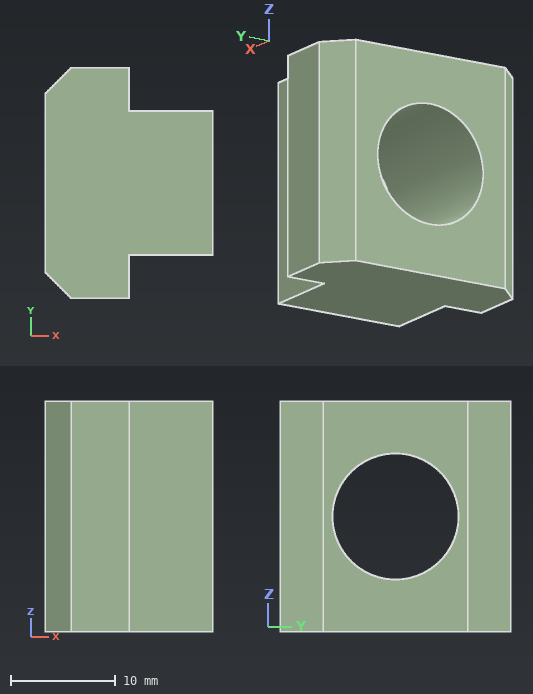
import cadquery as cq

total_depth = 16.0
flange_width = 22.0
height = 22.0

flange_depth = 8.0
neck_width = 13.75
chamfer = 2.5
bore_diameter = 12.0


def make_flange():
    """Wide block whose two vertical edges on the -X face are chamfered."""
    block = cq.Workplane("XY").box(flange_depth, flange_width, height, centered=(False, True, True))
    return block.faces("<X").edges("|Z").chamfer(chamfer)


def make_neck():
    """Narrower block spanning the full depth, so it overlaps the flange."""
    return cq.Workplane("XY").box(total_depth, neck_width, height, centered=(False, True, True))


def make_bore():
    """Cylinder along X through the centre of flange and neck."""
    return cq.Workplane("YZ").circle(bore_diameter / 2).extrude(total_depth)


result = make_flange().union(make_neck()).cut(make_bore())